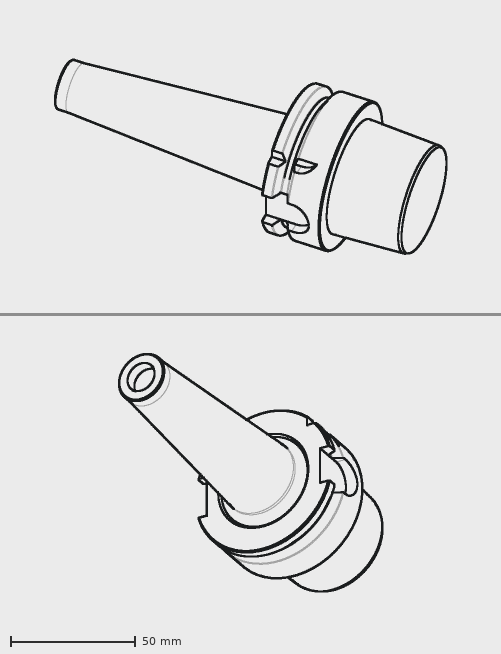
import cadquery as cq
import math

total_length = 158.0
flange_start = 100.0
flange_end = 126.0

nose_radius = 21.0 / 2
nose_straight = 5.0
nose_chamfer = 0.5
neck_radius = 32.5 / 2
neck_start = 95.9
neck_end = 97.3
neck_fillet = 3.6
recess_radius = 20.9
bore_diameter = 12.5
bore_depth = 5.5

flange_radius = 63.0 / 2
flange_chamfer = 0.5
groove_start = 104.6
groove_floor_start = 106.6
groove_floor_end = 109.5
groove_end = 111.5
groove_radius = 27.5
groove_fillet = 0.5

shank_radius = 24.3
shank_end_radius = 22.9
shank_chamfer_length = 1.3
shank_chamfer_depth = 0.5

slot_end = 121.2
slot_floor = 26.2
front_slot_width = 15.8
back_slot_width = 17.7
back_slot_corner = 7.7

notch_wall = 20.2
notch_floor = 20.2
notch_straight_end = 112.8
notch_runout_radius = 8.2

cut_margin = 1.6


def make_body():
    """Revolve the half profile (x, radius) about the X axis."""
    fillet_end = neck_end + neck_fillet
    diagonal = neck_fillet * math.sqrt(0.5)
    fillet_middle = (neck_end + diagonal, neck_radius + neck_fillet - diagonal)
    profile = (
        cq.Workplane("XY")
        .moveTo(0, 0)
        .lineTo(0, nose_radius - nose_chamfer)
        .lineTo(nose_chamfer, nose_radius)
        .lineTo(nose_straight, nose_radius)
        .lineTo(neck_start, neck_radius)
        .lineTo(neck_end, neck_radius)
        .threePointArc(fillet_middle, (fillet_end, neck_radius + neck_fillet))
        .lineTo(flange_start, recess_radius)
        .lineTo(flange_start, flange_radius - flange_chamfer)
        .lineTo(flange_start + flange_chamfer, flange_radius)
        .lineTo(groove_start, flange_radius)
        .lineTo(groove_floor_start, groove_radius)
        .lineTo(groove_floor_end, groove_radius)
        .lineTo(groove_end, flange_radius)
        .lineTo(flange_end - flange_chamfer, flange_radius)
        .lineTo(flange_end, flange_radius - flange_chamfer)
        .lineTo(flange_end, shank_radius)
        .lineTo(total_length - shank_chamfer_length, shank_end_radius)
        .lineTo(total_length, shank_end_radius - shank_chamfer_depth)
        .lineTo(total_length, 0)
        .close()
    )
    body = profile.revolve(360, (0, 0, 0), (1, 0, 0))
    groove_edges = cq.selectors.BoxSelector(
        (groove_start - cut_margin, -cut_margin, -cut_margin),
        (groove_end + cut_margin, cut_margin, cut_margin),
        boundingbox=False,
    )
    return body.edges("%CIRCLE").edges(groove_edges).fillet(groove_fillet)


def make_bore():
    return cq.Workplane("YZ").circle(bore_diameter / 2).extrude(bore_depth)


def make_slot(width, corner_radius, side):
    """Slot open at the flange face, rounded at its far end; side is -1 or +1 along Y."""
    start = flange_start - cut_margin
    half_width = width / 2
    flat_half = half_width - corner_radius
    arc_start = slot_end - corner_radius
    diagonal = corner_radius * math.sqrt(0.5)
    arc_middle = (arc_start + diagonal, flat_half + diagonal)
    outline = (
        cq.Workplane("XZ", origin=(0, side * slot_floor, 0))
        .moveTo(start, -half_width)
        .lineTo(start, half_width)
        .lineTo(arc_start, half_width)
        .threePointArc(arc_middle, (slot_end, flat_half))
    )
    if flat_half > 0:
        outline = outline.lineTo(slot_end, -flat_half)
    outline = outline.threePointArc((arc_middle[0], -arc_middle[1]), (arc_start, -half_width))
    return outline.close().extrude(-side * (flange_radius + cut_margin - slot_floor))


def make_notch():
    """Corner notch whose floor curves up and out through the rim."""
    start = flange_start - cut_margin
    runout_end = notch_straight_end + notch_runout_radius
    runout_top = notch_floor + notch_runout_radius
    diagonal = notch_runout_radius * math.sqrt(0.5)
    return (
        cq.Workplane("XZ", origin=(0, -notch_wall, 0))
        .moveTo(start, notch_floor)
        .lineTo(notch_straight_end, notch_floor)
        .threePointArc(
            (notch_straight_end + diagonal, runout_top - diagonal),
            (runout_end, runout_top),
        )
        .lineTo(start, runout_top)
        .close()
        .extrude(flange_radius - notch_wall)
    )


result = (
    make_body()
    .cut(make_bore())
    .cut(make_slot(front_slot_width, front_slot_width / 2, -1))
    .cut(make_slot(back_slot_width, back_slot_corner, 1))
    .cut(make_notch())
)